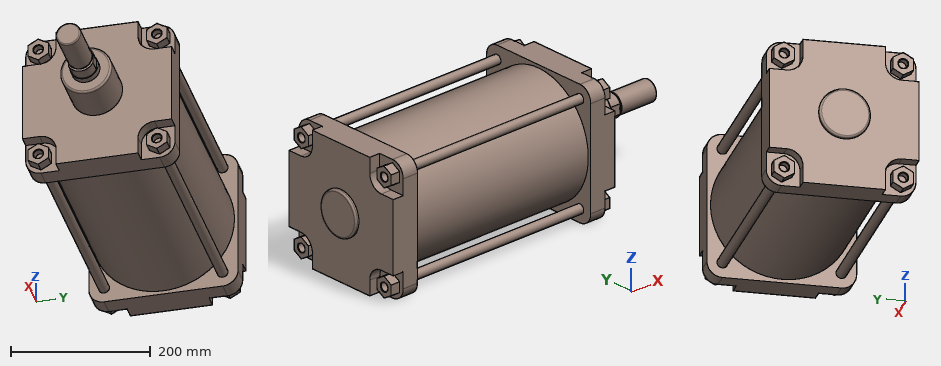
import cadquery as cq
import math


overall_length = 603.0
boss_height = 6.0
cap_thickness = 47.0
barrel_length = 336.5
neck_length = 64.5
collar_length = 10.0
flats_length = 20.0
undercut_length = 3.5

cap_size = 220.0
tie_spacing = 175.0
cap_corner_radius = (cap_size - tie_spacing) / 2
boss_diameter = 75.5
boss_edge_radius = 3.0
pocket_size = 49.5
pocket_depth = 19.0
pocket_radius = 24.0

barrel_diameter = 210.0

tie_diameter = 15.5
nut_across_flats = 30.0
nut_thickness = 16.0
nut_hole_diameter = 14.0
nut_hole_depth = 12.0
nut_hole_chamfer = 0.9

rod_diameter = 41.5
wrench_diameter = 40.0
wrench_across_flats = 36.0
thread_diameter = 36.0
undercut_diameter = 32.5
thread_edge_radius = 2.0

barrel_start = cap_thickness
front_cap_start = barrel_start + barrel_length
front_cap_end = front_cap_start + cap_thickness
neck_end = front_cap_end + neck_length
collar_end = neck_end + collar_length
flats_end = collar_end + flats_length
undercut_end = flats_end + undercut_length
rod_end = overall_length - boss_height

tie_places = [
    (side_y * tie_spacing / 2, side_z * tie_spacing / 2)
    for side_y in (-1, 1)
    for side_z in (-1, 1)
]


def plane_at(x):
    """Plane across the cylinder axis: local x is Y, local y is Z, normal is +X."""
    return cq.Workplane("YZ", origin=(x, 0, 0))


def cylinder(start, end, diameter):
    return plane_at(start).circle(diameter / 2).extrude(end - start)


def cap_block(start, pocket_start):
    """Square cap with rounded corners, a nut pocket and a tie-rod hole at each corner."""
    block = (
        plane_at(start)
        .rect(cap_size, cap_size)
        .extrude(cap_thickness)
        .edges("|X")
        .fillet(cap_corner_radius)
    )
    pockets = (
        plane_at(pocket_start)
        .rect(cap_size, cap_size, forConstruction=True)
        .vertices()
        .rect(2 * pocket_size, 2 * pocket_size)
        .extrude(pocket_depth)
        .edges("|X")
        .fillet(pocket_radius)
    )
    tie_holes = plane_at(start).pushPoints(tie_places).circle(tie_diameter / 2).extrude(cap_thickness)
    return block.cut(pockets).cut(tie_holes)


def make_rear_cap():
    boss = cylinder(-boss_height, 0, boss_diameter).faces("<X").edges().fillet(boss_edge_radius)
    return cap_block(0, 0).union(boss)


def make_front_cap():
    neck = cylinder(front_cap_end, neck_end, boss_diameter).faces(">X").edges().fillet(boss_edge_radius)
    rod_bore = cylinder(front_cap_start, neck_end, rod_diameter)
    return cap_block(front_cap_start, front_cap_end - pocket_depth).union(neck).cut(rod_bore)


def make_barrel():
    return cylinder(barrel_start, front_cap_start, barrel_diameter)


def make_piston_rod():
    shank = cylinder(front_cap_start, collar_end, rod_diameter)
    wrench_flats = cylinder(collar_end, flats_end, wrench_diameter).intersect(
        plane_at(collar_end).rect(wrench_across_flats, wrench_diameter).extrude(flats_length)
    )
    undercut = cylinder(flats_end, undercut_end, undercut_diameter)
    thread = cylinder(undercut_end, rod_end, thread_diameter).faces(">X").edges().fillet(thread_edge_radius)
    return shank.union(wrench_flats).union(undercut).union(thread)


def make_tie_rod(y, z):
    """Tie rod with a hexagonal nut on each end; the nut corners point along Z."""
    rear_seat = pocket_depth
    front_seat = front_cap_end - pocket_depth
    rear_end = rear_seat - nut_thickness
    front_end = front_seat + nut_thickness
    nut_across_corners = nut_across_flats / math.cos(math.pi / 6)

    tie = cylinder(rear_seat, front_seat, tie_diameter)
    for nut_start in (rear_end, front_seat):
        nut = (
            plane_at(nut_start)
            .transformed(rotate=(0, 0, 90))
            .polygon(6, nut_across_corners)
            .extrude(nut_thickness)
        )
        tie = tie.union(nut)
    for hole_start in (rear_end, front_end - nut_hole_depth):
        tie = tie.cut(cylinder(hole_start, hole_start + nut_hole_depth, nut_hole_diameter))
    hole_rims = cq.selectors.RadiusNthSelector(0)
    tie = tie.faces("<X or >X").edges(hole_rims).chamfer(nut_hole_chamfer)
    return tie.translate((0, y, z))


rear_cap = make_rear_cap()
barrel = make_barrel()
front_cap = make_front_cap()
piston_rod = make_piston_rod()
tie_rods = [make_tie_rod(y, z) for y, z in tie_places]

result = cq.Compound.makeCompound([
    rear_cap.val(),
    barrel.val(),
    front_cap.val(),
    piston_rod.val(),
    *[tie_rod.val() for tie_rod in tie_rods],
])